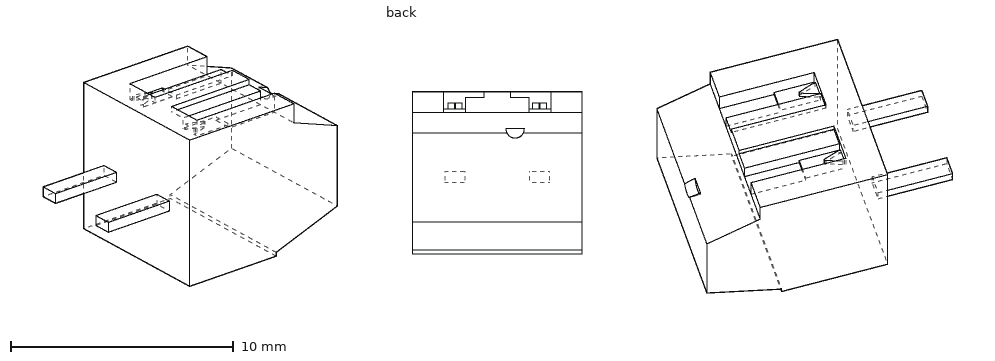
import cadquery as cq

width = 7.62
height = 7.3
total_length = 12.0
pin_length = 3.5
depth = total_length - pin_length

upper_step_y = depth - 2.51
upper_step_z = -0.95
rear_top_z = -1.85
rear_bottom_z = -5.85
lower_step_y = depth - 3.52
lower_step_z = -height + 0.19

pin_width = 0.9
pin_thickness = 0.49
pin_x = 1.9
pin_z = -3.84

slot_front_y = 1.54
slot_inner_x = 0.6
groove_inner_x = 1.42
slot_outer_x = 2.41
shelf_depth = 0.26

pad_end_y = 3.42
pad_height = 0.17
wedge_width = 0.61
wedge_length = 0.85
wedge_straight_length = 0.07
wedge_tip_width = 0.06
wedge_height = 0.28

marker_diameter = 0.82
marker_depth = 0.5
marker_x = -0.8
marker_z = -1.68


def box(x_range, y_range, z_range):
    """Axis-aligned block given by its limits along each axis."""
    sizes = [end - start for start, end in (x_range, y_range, z_range)]
    corner = (x_range[0], y_range[0], z_range[0])
    return cq.Workplane("XY").box(*sizes, centered=False).translate(corner)


def make_housing():
    profile = [
        (0, 0),
        (upper_step_y, 0),
        (upper_step_y, upper_step_z),
        (depth, rear_top_z),
        (depth, rear_bottom_z),
        (lower_step_y, lower_step_z),
        (lower_step_y, -height),
        (0, -height),
    ]
    return cq.Workplane("YZ").polyline(profile).close().extrude(width / 2, both=True)


def make_slot():
    """Material removed for the slot on the +X side: a shallow shelf beside a deep groove."""
    y_range = (slot_front_y, upper_step_y)
    shelf = box((slot_inner_x, groove_inner_x), y_range, (-shelf_depth, 0))
    groove = box((groove_inner_x, slot_outer_x), y_range, (upper_step_z, 0))
    return shelf.union(groove)


def make_groove_insert():
    """Pad and wedge standing in the groove on the +X side."""
    pad_top_z = upper_step_z + pad_height
    pad = box((groove_inner_x, slot_outer_x), (slot_front_y, pad_end_y), (upper_step_z, pad_top_z))
    base_x = wedge_width / 2
    tip_x = wedge_tip_width / 2
    wedge_outline = [
        (-base_x, 0),
        (base_x, 0),
        (base_x, wedge_straight_length),
        (tip_x, wedge_length),
        (-tip_x, wedge_length),
        (-base_x, wedge_straight_length),
    ]
    wedge = (
        cq.Workplane("XY", origin=(pin_x, slot_front_y, pad_top_z))
        .polyline(wedge_outline)
        .close()
        .extrude(wedge_height)
    )
    return pad.union(wedge)


def make_pin():
    return box(
        (pin_x - pin_width / 2, pin_x + pin_width / 2),
        (-pin_length, 0),
        (pin_z - pin_thickness / 2, pin_z + pin_thickness / 2),
    )


def make_marker_recess():
    return (
        cq.Workplane("XZ", origin=(marker_x, depth, marker_z))
        .circle(marker_diameter / 2)
        .extrude(marker_depth)
    )


def both_sides(shape):
    return shape.union(shape.mirror("YZ"))


result = (
    make_housing()
    .cut(both_sides(make_slot()))
    .union(both_sides(make_groove_insert()))
    .union(both_sides(make_pin()))
    .cut(make_marker_recess())
)